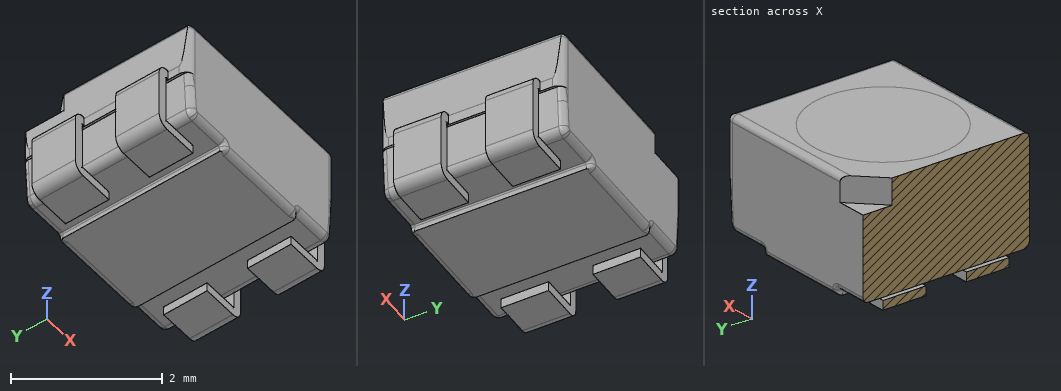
import cadquery as cq
TOTAL_LENGTH = 3.57
BODY_WIDTH = 2.8
TOTAL_HEIGHT = 1.9

PLINTH_BOTTOM = 0.09
BODY_BOTTOM = 0.19
SHELF_Z = 0.95
PARTING_Z = 1.10

PARTING_HALF = 1.595
TOP_HALF = 1.545
LOWER_HALF_AT_SHELF = 1.56
LOWER_HALF_AT_BOTTOM = 1.51
PLINTH_HALF = 0.80

CORNER_RADIUS = 0.15
EDGE_RADIUS = 0.10
END_RIM_RADIUS = 0.13
PLINTH_ROOT_RADIUS = 0.02

NOTCH_FLOOR = 1.5
NOTCH_INTERCEPT = 2.26

WINDOW_DIAMETER = 2.3
WINDOW_DEPTH = 0.4

LEAD_THICKNESS = 0.15
LEAD_WIDTH = 0.725
LEAD_PITCH = 1.4
LEAD_TOP = 1.12
LEAD_BEND_RADIUS = 0.17
FOOT_END = 1.06
LEAD_EMBED = 0.1

HALF_WIDTH = BODY_WIDTH / 2
EDGE_MARGIN = 0.05


def extrude_across_width(outline):
    """Extrude a closed XZ outline symmetrically over the body width."""
    return outline.close().extrude(HALF_WIDTH, both=True)


def edges_inside(solid, x_range, y_range, z_range):
    """Select the edges of a solid whose centers lie inside a box."""
    low_corner, high_corner = zip(x_range, y_range, z_range)
    return solid.edges(cq.selectors.BoxSelector(low_corner, high_corner))


def make_footprint():
    """Upright block with rounded vertical corners and a rounded top rim."""
    return (
        cq.Workplane("XY")
        .rect(2 * PARTING_HALF, BODY_WIDTH)
        .extrude(TOTAL_HEIGHT)
        .edges("|Z")
        .fillet(CORNER_RADIUS)
        .faces(">Z")
        .edges()
        .fillet(EDGE_RADIUS)
    )


def make_upper_half():
    """Footprint block above the shelf, with end walls leaning inwards above the parting height."""
    envelope = extrude_across_width(
        cq.Workplane("XZ").polyline([
            (-PARTING_HALF, SHELF_Z),
            (PARTING_HALF, SHELF_Z),
            (PARTING_HALF, PARTING_Z),
            (TOP_HALF, TOTAL_HEIGHT),
            (-TOP_HALF, TOTAL_HEIGHT),
            (-PARTING_HALF, PARTING_Z),
        ])
    )
    rounded_envelope = envelope.faces(">Z").edges("|Y").fillet(EDGE_RADIUS)
    return make_footprint().intersect(rounded_envelope)


def round_underside_along_y(block, x_position, radius):
    """Fillet the two edges along Y at the body underside, at plus and minus x_position."""
    for x in (-x_position, x_position):
        edge = edges_inside(
            block,
            (x - EDGE_MARGIN, x + EDGE_MARGIN),
            (-HALF_WIDTH, HALF_WIDTH),
            (BODY_BOTTOM - EDGE_MARGIN, BODY_BOTTOM + EDGE_MARGIN),
        )
        block = edge.edges("|Y").fillet(radius)
    return block


def make_lower_half():
    """Tapered block with a shallow plinth below, rounded at the corners and underside rims."""
    envelope = extrude_across_width(
        cq.Workplane("XZ").polyline([
            (-LOWER_HALF_AT_SHELF, SHELF_Z),
            (-LOWER_HALF_AT_BOTTOM, BODY_BOTTOM),
            (-PLINTH_HALF, BODY_BOTTOM),
            (-PLINTH_HALF, PLINTH_BOTTOM),
            (PLINTH_HALF, PLINTH_BOTTOM),
            (PLINTH_HALF, BODY_BOTTOM),
            (LOWER_HALF_AT_BOTTOM, BODY_BOTTOM),
            (LOWER_HALF_AT_SHELF, SHELF_Z),
        ])
    )
    block = round_underside_along_y(envelope, PLINTH_HALF, PLINTH_ROOT_RADIUS)
    block = round_underside_along_y(block, LOWER_HALF_AT_BOTTOM, END_RIM_RADIUS)
    block = block.intersect(make_footprint())
    below_shelf = edges_inside(
        block,
        (-PARTING_HALF, PARTING_HALF),
        (-BODY_WIDTH, BODY_WIDTH),
        (0, SHELF_Z - EDGE_MARGIN),
    )
    return below_shelf.edges("not |Y").fillet(EDGE_RADIUS)


def make_notch():
    """Triangular prism that removes the top of the -X, +Y corner."""
    reach = 2 * PARTING_HALF
    return (
        cq.Workplane("XY")
        .workplane(offset=NOTCH_FLOOR)
        .polyline([
            (-reach, NOTCH_INTERCEPT - reach),
            (reach - NOTCH_INTERCEPT, reach),
            (-reach, reach),
        ])
        .close()
        .extrude(TOTAL_HEIGHT)
    )


def make_body():
    """Both halves joined, with the polarity notch removed."""
    return make_upper_half().union(make_lower_half()).cut(make_notch())


def make_lead(side, y_center):
    """J-bent lead strip on the end wall given by side (-1 or +1)."""
    outer = TOTAL_LENGTH / 2
    inner = outer - LEAD_THICKNESS
    root = PARTING_HALF - LEAD_EMBED
    strip = (
        cq.Workplane("XZ", origin=(0, y_center, 0))
        .polyline([
            (side * root, LEAD_TOP),
            (side * outer, LEAD_TOP),
            (side * outer, 0),
            (side * FOOT_END, 0),
            (side * FOOT_END, LEAD_THICKNESS),
            (side * inner, LEAD_THICKNESS),
            (side * inner, LEAD_TOP - LEAD_THICKNESS),
            (side * root, LEAD_TOP - LEAD_THICKNESS),
        ])
        .close()
        .extrude(LEAD_WIDTH / 2, both=True)
    )
    outer_face = strip.faces("<X" if side < 0 else ">X")
    return outer_face.edges("|Y").fillet(LEAD_BEND_RADIUS)


def make_window():
    """Round encapsulant window, flush with the top face."""
    return (
        cq.Workplane("XY")
        .workplane(offset=TOTAL_HEIGHT - WINDOW_DEPTH)
        .circle(WINDOW_DIAMETER / 2)
        .extrude(WINDOW_DEPTH)
    )


result = make_body()
for side in (-1, 1):
    for y_center in (-LEAD_PITCH / 2, LEAD_PITCH / 2):
        result = result.union(make_lead(side, y_center))

window = make_window()
result = result.cut(window).union(window, clean=False)